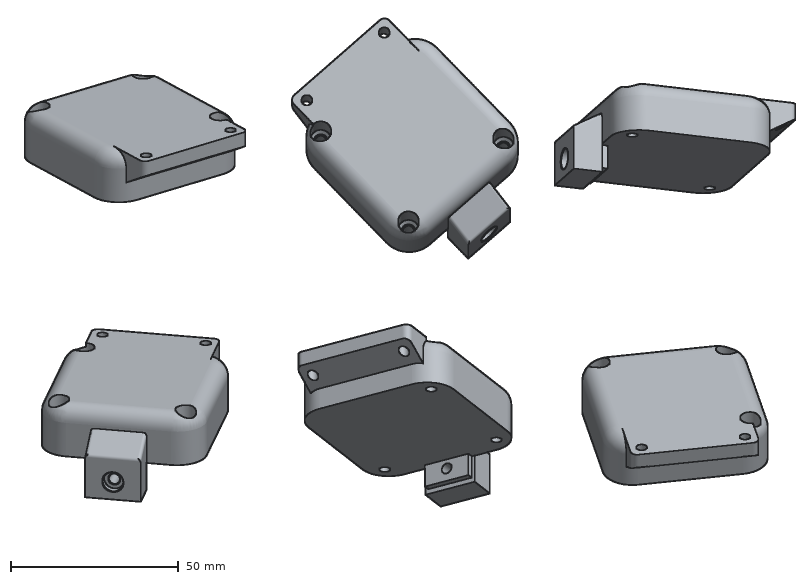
import cadquery as cq
import math

case_side = 50.0
case_height = 16.0
case_corner_radius = 9.0
case_top_radius = 5.0

overall_length = 66.9
overall_height = 24.75

flange_reach = 8.0
flange_width = 38.8
flange_end_thickness = 4.6
flange_slope_angle = 30.0
flange_corner_radius = 2.0
flange_hole_diameter = 3.2
flange_hole_end_distance = 3.75
flange_hole_spacing = 31.4

screw_spacing = 38.5
screw_hole_diameter = 3.2
screw_head_diameter = 6.2
screw_head_depth = 8.0
screw_seat_diameter = 4.15

bolt_length = 9.0
bolt_width = 17.0
bolt_top_at_case = 9.9
bolt_slope_angle = 29.0
bolt_edge_radius = 1.0

tongue_thickness = 2.0
tongue_side_inset = 1.0
tongue_bottom_inset = 1.6

bolt_hole_height = 5.75
bolt_hole_diameter = 3.35
bolt_bore_diameter = 6.15
bolt_bore_depth = 2.3
bolt_hole_chamfer = 0.2

flange_slope = math.tan(math.radians(flange_slope_angle))
bolt_slope = math.tan(math.radians(bolt_slope_angle))
case_half = case_side / 2
flange_end = case_half + flange_reach
bolt_front = flange_end - overall_length
bolt_back = bolt_front + bolt_length
bolt_bottom = case_height - overall_height
tongue_back = bolt_back + tongue_thickness
bolt_hole_z = bolt_bottom + bolt_hole_height


def make_case():
    block = cq.Workplane("XY").box(case_side, case_side, case_height, centered=(True, True, False))
    return block.edges("|Z").fillet(case_corner_radius).faces(">Z").edges().fillet(case_top_radius)


def make_flange():
    """Plate with a sloping underside, rooted inside the case under the flat of its top."""
    root = case_half - case_corner_radius
    end_bottom = case_height - flange_end_thickness
    root_bottom = end_bottom - (flange_end - root) * flange_slope
    profile = [
        (root, case_height),
        (flange_end, case_height),
        (flange_end, end_bottom),
        (root, root_bottom),
    ]
    plate = cq.Workplane("XZ").polyline(profile).close().extrude(flange_width / 2, both=True)
    plate = plate.edges("|Z and >X").fillet(flange_corner_radius)
    hole_x = flange_end - flange_hole_end_distance
    holes = (
        cq.Workplane("XY")
        .pushPoints([(hole_x, side * flange_hole_spacing / 2) for side in (-1, 1)])
        .circle(flange_hole_diameter / 2)
        .extrude(case_height)
    )
    return plate.cut(holes)


def make_screw_hole(x, y):
    """Deep screw-head recess with a 45 degree seat and a through hole, as one revolved cutter."""
    hole_radius = screw_hole_diameter / 2
    seat_radius = screw_seat_diameter / 2
    head_radius = screw_head_diameter / 2
    seat_top = case_height - screw_head_depth
    seat_bottom = seat_top - (head_radius - seat_radius)
    profile = [
        (0, 0),
        (hole_radius, 0),
        (hole_radius, seat_bottom),
        (seat_radius, seat_bottom),
        (head_radius, seat_top),
        (head_radius, case_height),
        (0, case_height),
    ]
    cutter = cq.Workplane("XZ").polyline(profile).close().revolve(360, (0, 0), (0, 1))
    return cutter.translate((x, y, 0))


def make_bolt():
    """Bolt head with a sloping, round-edged top, plus the tongue behind it."""
    back_top = bolt_top_at_case + (bolt_back + case_half) * bolt_slope
    front_top = back_top - bolt_length * bolt_slope
    profile = [
        (bolt_front, bolt_bottom),
        (bolt_back, bolt_bottom),
        (bolt_back, back_top),
        (bolt_front, front_top),
    ]
    head = cq.Workplane("XZ").polyline(profile).close().extrude(bolt_width / 2, both=True)
    head = head.faces(">Z").edges("not(>X)").fillet(bolt_edge_radius)
    tongue = cq.Workplane("XY").box(
        tongue_back - bolt_back,
        bolt_width - 2 * tongue_side_inset,
        -bolt_bottom - tongue_bottom_inset,
        centered=(False, True, False),
    )
    tongue = tongue.translate((bolt_back, 0, bolt_bottom + tongue_bottom_inset))
    return head.union(tongue)


def make_bolt_hole():
    """Through hole and counterbore along X, each with a small chamfer at its mouth."""
    hole_radius = bolt_hole_diameter / 2
    bore_radius = bolt_bore_diameter / 2
    bore_end = bolt_front + bolt_bore_depth
    profile = [
        (bolt_front, 0),
        (bolt_front, bore_radius + bolt_hole_chamfer),
        (bolt_front + bolt_hole_chamfer, bore_radius),
        (bore_end, bore_radius),
        (bore_end, hole_radius + bolt_hole_chamfer),
        (bore_end + bolt_hole_chamfer, hole_radius),
        (tongue_back, hole_radius),
        (tongue_back, 0),
    ]
    cutter = cq.Workplane("XZ").polyline(profile).close().revolve(360, (0, 0), (1, 0))
    return cutter.translate((0, 0, bolt_hole_z))


result = make_case().union(make_flange()).union(make_bolt()).cut(make_bolt_hole())

screw_offset = screw_spacing / 2
for x_side, y_side in [(-1, -1), (-1, 1), (1, 1)]:
    result = result.cut(make_screw_hole(x_side * screw_offset, y_side * screw_offset))